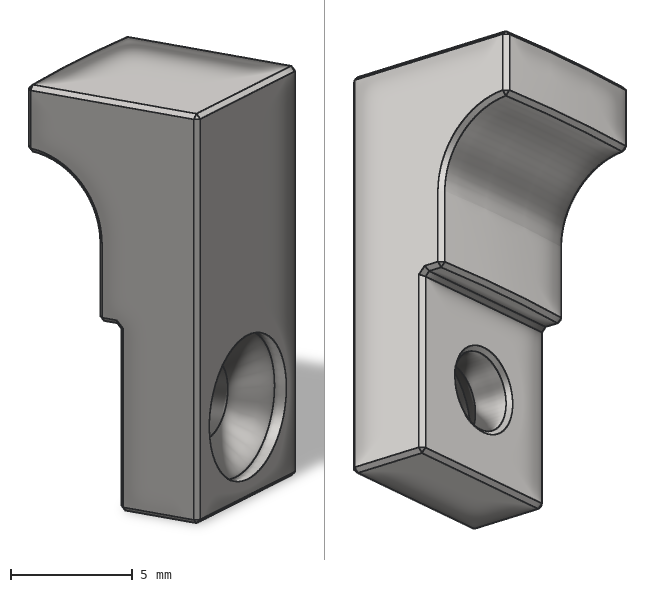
import cadquery as cq

depth = 8.3
width = 8.0
height = 17.6

crown_radius = 60.02
cove_radius = 3.4
lip_height = 2.87
step_height = 7.99
leg_thickness = 3.77
chamfer = 0.2
hole_diameter = 3.4
hole_height = 4.0
head_diameter = 6.2
head_rim_depth = 0.56

lip_bottom = height - lip_height
cove_bottom = lip_bottom - cove_radius
leg_front = depth - leg_thickness


def make_head():
    """Upper block whose lip, cove and step are all revolved about the crown axis."""
    disc = (
        cq.Workplane("XZ")
        .moveTo(crown_radius, height)
        .lineTo(0, height)
        .lineTo(0, lip_bottom)
        .radiusArc((cove_radius, cove_bottom), cove_radius)
        .lineTo(cove_radius, step_height)
        .lineTo(crown_radius, step_height)
        .close()
        .revolve(360, (crown_radius, 0), (crown_radius, 1))
    )
    envelope = cq.Workplane("XY").box(depth, width, height, centered=(False, True, False))
    return disc.intersect(envelope)


def make_leg():
    """Flat lower leg with a small sloped strip under the step."""
    return (
        cq.Workplane("XZ", origin=(0, width / 2, 0))
        .moveTo(leg_front, 0)
        .lineTo(depth, 0)
        .lineTo(depth, step_height)
        .lineTo(leg_front - chamfer, step_height)
        .lineTo(leg_front, step_height - chamfer)
        .close()
        .extrude(width)
    )


def front_edge(body, x, z):
    """The crosswise edges running along the crowned front near the given X and Z."""
    margin = 0.18
    selector = cq.selectors.BoxSelector(
        (x - margin, -width, z - margin), (x + margin, width, z + margin)
    )
    return body.edges(selector)


def chamfer_outside(body):
    """Bevel both side outlines, the top, bottom and back edges, and the front corners."""
    edges = body.faces("<Y or >Y or <Z or >Z or >X").edges()
    edges = edges.add(front_edge(body, 0, lip_bottom))
    edges = edges.add(front_edge(body, cove_radius, step_height))
    return edges.chamfer(chamfer)


def make_hole_cutter():
    """Through hole along X, bevelled in front and countersunk for a screw head at the back."""
    radius = hole_diameter / 2
    head_radius = head_diameter / 2
    cone_end = depth - head_rim_depth
    cone_start = cone_end - (head_radius - radius)
    return (
        cq.Workplane("XY", origin=(0, 0, hole_height))
        .moveTo(leg_front, 0)
        .lineTo(leg_front, radius + chamfer)
        .lineTo(leg_front + chamfer, radius)
        .lineTo(cone_start, radius)
        .lineTo(cone_end, head_radius)
        .lineTo(depth, head_radius)
        .lineTo(depth, 0)
        .close()
        .revolve(360, (0, 0), (1, 0))
    )


body = make_head().union(make_leg())
result = chamfer_outside(body).cut(make_hole_cutter())